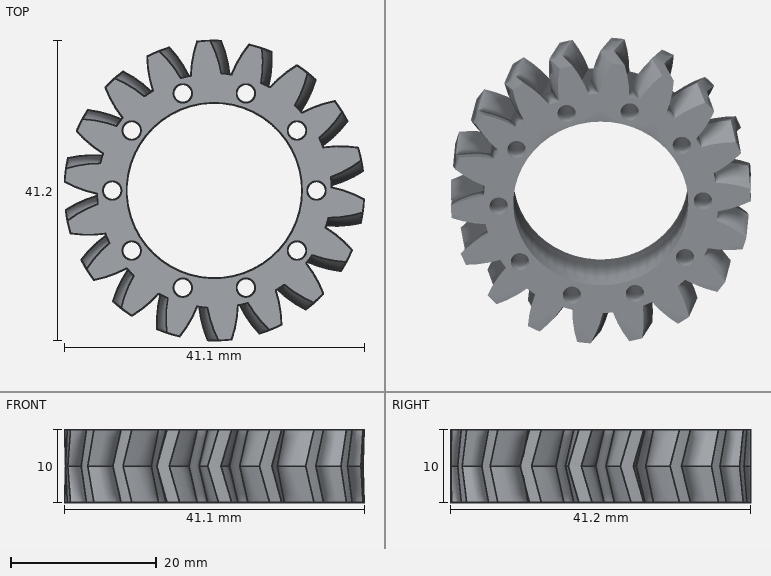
import cadquery as cq
import math

tooth_count = 18
module = 2.0
tip_radius = 20.575
pitch_radius = tip_radius - module
root_radius = pitch_radius - 1.25 * module
width = 10.0
half_width = width / 2
half_twist = 4.12
tooth_pitch = 360.0 / tooth_count
first_tooth_angle = tooth_pitch / 2

root_half_angle = 7.5
pitch_half_angle = tooth_pitch / 4
tip_half_angle = 2.52

bore_diameter = 24.0
hole_diameter = 2.5
hole_count = 10
hole_circle_radius = 14.0


def polar(radius, degrees):
    angle = math.radians(degrees)
    return (radius * math.cos(angle), radius * math.sin(angle))


def gear_outline(workplane):
    """Closed transverse section: arc flanks, tips and roots for every tooth."""
    outline = workplane.moveTo(*polar(root_radius, first_tooth_angle - root_half_angle))
    for tooth in range(tooth_count):
        centre = first_tooth_angle + tooth * tooth_pitch
        gap_centre = centre + tooth_pitch / 2
        next_root = centre + tooth_pitch - root_half_angle
        outline = (
            outline
            .threePointArc(
                polar(pitch_radius, centre - pitch_half_angle),
                polar(tip_radius, centre - tip_half_angle),
            )
            .threePointArc(polar(tip_radius, centre), polar(tip_radius, centre + tip_half_angle))
            .threePointArc(
                polar(pitch_radius, centre + pitch_half_angle),
                polar(root_radius, centre + root_half_angle),
            )
            .threePointArc(polar(root_radius, gap_centre), polar(root_radius, next_root))
        )
    return outline.close()


def herringbone_body():
    """Two mirrored helical halves that meet at the mid-plane."""
    upper_half = gear_outline(cq.Workplane("XY")).twistExtrude(half_width, half_twist)
    lower_half = upper_half.mirror("XY")
    return upper_half.union(lower_half).translate((0, 0, half_width))


def bore_and_holes():
    """Central bore and the ring of through holes around it."""
    bore = cq.Workplane("XY").circle(bore_diameter / 2).extrude(width)
    holes = (
        cq.Workplane("XY")
        .polarArray(hole_circle_radius, 0, 360, hole_count)
        .circle(hole_diameter / 2)
        .extrude(width)
    )
    return bore.union(holes)


result = herringbone_body().cut(bore_and_holes())